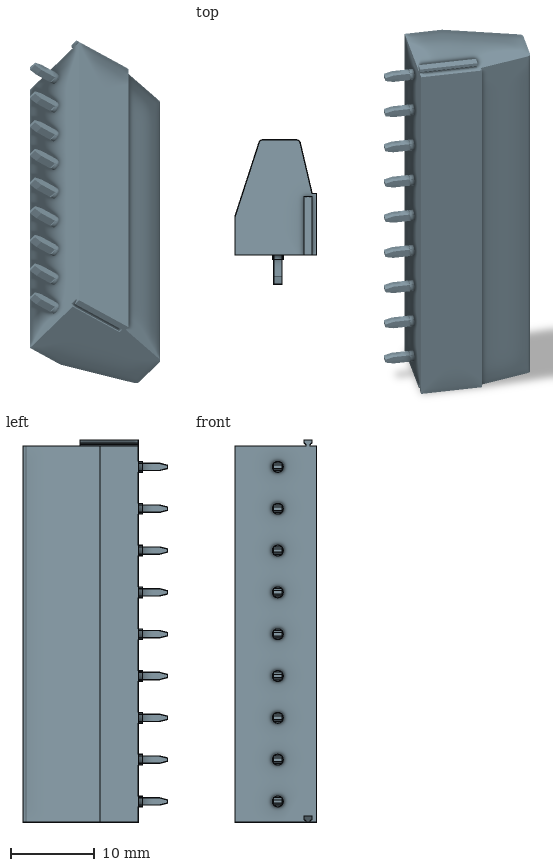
import cadquery as cq

pole_count = 9
pitch = 5.0
body_height = pole_count * pitch

body_width = 9.8
body_depth = 13.8
left_wall_depth = 4.57
step_depth = 7.4
step_width = 0.55
crest_left = 3.0
crest_right = 7.75
crest_radius = 0.5

rail_height = 0.74
rail_length = 7.0
rail_head_width = 1.0
rail_neck_width = 0.5
rail_head_thickness = 0.37
rail_neck_height = 0.17
rail_center_x = body_width - step_width - rail_head_width / 2

pin_x = 5.15
collar_diameter = 1.3
collar_length = 0.5
pin_length = 3.5
pin_width = 1.0
pin_thickness = 0.9
tip_length = 0.97
tip_thickness = 0.4


def make_housing():
    profile = (
        cq.Workplane("XY")
        .polyline([
            (0, 0),
            (body_width, 0),
            (body_width, step_depth),
            (body_width - step_width, step_depth),
            (crest_right, body_depth),
            (crest_left, body_depth),
            (0, left_wall_depth),
        ])
        .close()
    )
    housing = profile.extrude(body_height)
    return housing.faces(">Y").edges("|Z").fillet(crest_radius)


def make_dovetail(base_z):
    """Dovetail bar along +Y from the pin face, rising from base_z with its narrow neck below."""
    half_neck = rail_neck_width / 2
    half_head = rail_head_width / 2
    neck_top = base_z + rail_neck_height
    top = base_z + rail_height
    head_bottom = top - rail_head_thickness
    return (
        cq.Workplane("XZ", origin=(rail_center_x, 0, 0))
        .polyline([
            (-half_neck, base_z),
            (half_neck, base_z),
            (half_neck, neck_top),
            (half_head, head_bottom),
            (half_head, top),
            (-half_head, top),
            (-half_head, head_bottom),
            (-half_neck, neck_top),
        ])
        .close()
        .extrude(-rail_length)
    )


def make_pin(z):
    """Round collar followed by a flat blade that tapers in thickness at its tip."""
    collar = cq.Workplane("XZ", origin=(pin_x, 0, z)).circle(collar_diameter / 2).extrude(collar_length)
    half_blade = pin_thickness / 2
    half_tip = tip_thickness / 2
    taper_start = -(pin_length - tip_length)
    blade = (
        cq.Workplane("YZ", origin=(pin_x, 0, z))
        .polyline([
            (0, -half_blade),
            (taper_start, -half_blade),
            (-pin_length, -half_tip),
            (-pin_length, half_tip),
            (taper_start, half_blade),
            (0, half_blade),
        ])
        .close()
        .extrude(pin_width / 2, both=True)
    )
    return collar.union(blade)


result = make_housing()
result = result.union(make_dovetail(body_height))
result = result.cut(make_dovetail(0))
for pole in range(pole_count):
    result = result.union(make_pin((pole + 0.5) * pitch))